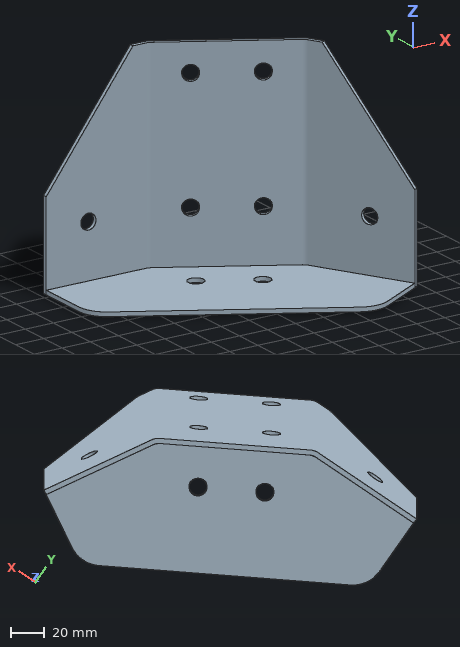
import cadquery as cq
import math

THICKNESS = 3.0
BEND_ANGLE = 30.0
BEND_INNER_RADIUS = 6.0
BEND_OUTER_RADIUS = BEND_INNER_RADIUS + THICKNESS

TOTAL_LENGTH = 193.0
SIDE_LENGTH = 73.7
WALL_HEIGHT = 145.5
SIDE_END_HEIGHT = 62.1
SLOPE_RUN = 61.8

BASE_DEPTH = 80.0
BASE_CORNER_RADIUS = 19.9

HOLE_DIAMETER = 10.6
LOWER_HOLE_HEIGHT = 40.5
UPPER_HOLE_HEIGHT = 125.6
MIDDLE_HOLE_SPACING = 43.5
SIDE_HOLE_FROM_END = 30.1
BASE_HOLE_SPACING = 40.0
BASE_HOLE_DEPTH = 27.8

COS_BEND = math.cos(math.radians(BEND_ANGLE))
SIN_BEND = math.sin(math.radians(BEND_ANGLE))
COS_BOTH_BENDS = math.cos(math.radians(2 * BEND_ANGLE))
MIDDLE_LENGTH = (TOTAL_LENGTH - SIDE_LENGTH * (1 + COS_BOTH_BENDS)) / COS_BEND

HALF_MIDDLE = MIDDLE_LENGTH / 2
INNER_HALF_MIDDLE = HALF_MIDDLE - THICKNESS * math.tan(math.radians(BEND_ANGLE / 2))
OUTER_END = (HALF_MIDDLE + SIDE_LENGTH * COS_BEND, -SIDE_LENGTH * SIN_BEND)
INNER_END = (OUTER_END[0] - THICKNESS * SIN_BEND, OUTER_END[1] - THICKNESS * COS_BEND)

END_EDGE_DROP = BASE_DEPTH + INNER_END[1]
BASE_FRONT_CORNER = (INNER_END[0] - END_EDGE_DROP * math.tan(math.radians(BEND_ANGLE)), -BASE_DEPTH)


def mirrored(point):
    return (-point[0], point[1])


def symmetric_prism(right_half, height):
    """Extrude the closed outline made of a right half and its mirror image."""
    left_half = [mirrored(point) for point in reversed(right_half)]
    return cq.Workplane("XY").polyline(right_half + left_half).close().extrude(height)


def round_corners(body, corner, radius):
    """Round the vertical edges at a corner and at its mirror image."""
    half_height = body.val().BoundingBox().zmax / 2
    for x, y in (corner, mirrored(corner)):
        body = body.edges(cq.selectors.NearestToPointSelector((x, y, half_height))).fillet(radius)
    return body


def side_plane(side):
    """Plane on the outer face of the left (-1) or right (1) side panel.

    The origin is at the panel's lower free end. Local X runs along the panel,
    towards the bend on the left and away from it on the right. Local Y is up
    and the normal points into the sheet.
    """
    return cq.Plane(
        origin=(side * OUTER_END[0], OUTER_END[1], 0),
        xDir=(COS_BEND, -side * SIN_BEND, 0),
        normal=(-side * SIN_BEND, -COS_BEND, 0),
    )


def make_wall():
    outer_bend = (HALF_MIDDLE, 0)
    inner_bend = (INNER_HALF_MIDDLE, -THICKNESS)
    wall = symmetric_prism([outer_bend, OUTER_END, INNER_END, inner_bend], WALL_HEIGHT)
    wall = round_corners(wall, outer_bend, BEND_OUTER_RADIUS)
    wall = round_corners(wall, inner_bend, BEND_INNER_RADIUS)

    for side in (-1, 1):
        corner = [
            (0, SIDE_END_HEIGHT),
            (0, WALL_HEIGHT),
            (-side * SLOPE_RUN, WALL_HEIGHT),
        ]
        plane = side_plane(side)
        wall = wall.cut(cq.Workplane(plane).polyline(corner).close().extrude(THICKNESS))
        hole = (
            cq.Workplane(plane)
            .center(-side * SIDE_HOLE_FROM_END, LOWER_HOLE_HEIGHT)
            .circle(HOLE_DIAMETER / 2)
            .extrude(THICKNESS)
        )
        wall = wall.cut(hole)

    half_spacing = MIDDLE_HOLE_SPACING / 2
    heights = (LOWER_HOLE_HEIGHT, UPPER_HOLE_HEIGHT)
    middle_holes = (
        cq.Workplane("XZ")
        .pushPoints([(x, z) for x in (-half_spacing, half_spacing) for z in heights])
        .circle(HOLE_DIAMETER / 2)
        .extrude(THICKNESS)
    )
    return wall.cut(middle_holes)


def make_base():
    """Plate that fits inside the foot of the wall, flush with its lower edge."""
    setback = BEND_INNER_RADIUS * math.tan(math.radians(BEND_ANGLE / 2))
    bend_start = (INNER_HALF_MIDDLE - setback, -THICKNESS)
    bend_end = (INNER_HALF_MIDDLE + setback * COS_BEND, -THICKNESS - setback * SIN_BEND)
    base = symmetric_prism([bend_start, bend_end, INNER_END, BASE_FRONT_CORNER], THICKNESS)
    base = round_corners(base, BASE_FRONT_CORNER, BASE_CORNER_RADIUS)
    half_spacing = BASE_HOLE_SPACING / 2
    holes = (
        cq.Workplane("XY")
        .pushPoints([(x, -BASE_HOLE_DEPTH) for x in (-half_spacing, half_spacing)])
        .circle(HOLE_DIAMETER / 2)
        .extrude(THICKNESS)
    )
    return base.cut(holes)


def turn_into_place(body):
    return body.rotate((0, 0, 0), (0, 0, 1), -BEND_ANGLE)


wall = turn_into_place(make_wall())
base = turn_into_place(make_base())

result = cq.Compound.makeCompound([wall.val(), base.val()])